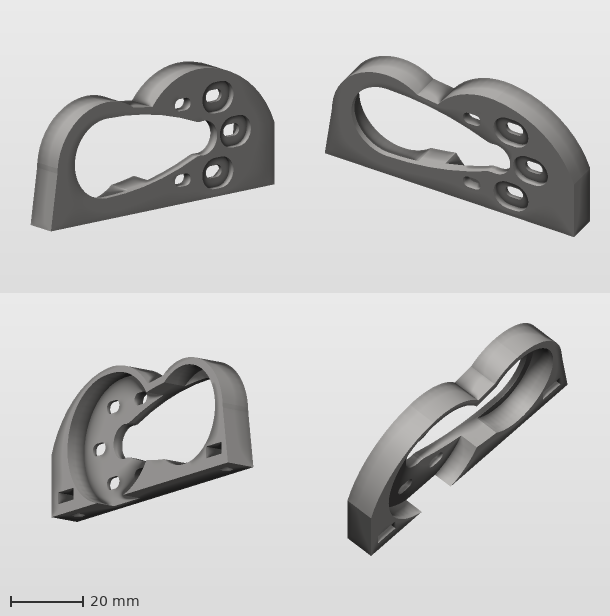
import cadquery as cq
import math

thickness = 9.0
length = 80.0
total_height = 37.8

axis_height = 17.6

large_start = 25.4
travel = 2.2
large_end = large_start + travel
large_middle = large_start + travel / 2
large_radius = 18.2
large_depth = 5.9

small_center = 60.0
small_radius = 14.2
small_depth = 7.3
small_wall = 2.0

left_edge_height = 17.9
left_shoulder_radius = 30.0
dome_center = 27.3
dome_radius = 20.6
dome_start = 25.4
valley_start = 43.7
valley_end = 50.3
right_shoulder = 77.6
taper_top = 77.7
taper_top_height = 16.2

opening_small_radius = 5.0
opening_large_radius = 11.4

slot_width = 3.5
slot_circle_radius = 12.6
slot_angles = (60, 120, 180, 240, 300)
relieved_slot_angles = (120, 180, 240)
relief_width = 9.0
relief_depth = 1.8

pocket_centers = (6.4, 73.6)
pocket_width = 7.0
pocket_height = 3.4
pocket_bottom = 3.1
screw_diameter = 3.5
screw_depth = thickness / 2
pocket_depth = screw_depth + pocket_width / 2
pocket_chamfer = 1.6


def front_face(distance=0, height=0):
    """Sketch plane on the -X face: x runs toward -Y, y runs up, extruding negative cuts inward."""
    return cq.Workplane(cq.Plane(origin=(0, -distance, height), xDir=(0, -1, 0), normal=(-1, 0, 0)))


def circle_top(center, center_height, radius, distance):
    """Height of the upper side of a circle at a distance along the plate."""
    return center_height + math.sqrt(radius**2 - (distance - center) ** 2)


def make_plate():
    dome_height = total_height - dome_radius
    small_outer = small_radius + small_wall
    small_top = axis_height + small_outer
    dome_start_height = circle_top(dome_center, dome_height, dome_radius, dome_start)
    valley_start_height = circle_top(dome_center, dome_height, dome_radius, valley_start)
    valley_end_height = circle_top(small_center, axis_height, small_outer, valley_end)
    return (
        front_face()
        .lineTo(0, left_edge_height)
        .radiusArc((dome_start, dome_start_height), left_shoulder_radius)
        .radiusArc((valley_start, valley_start_height), dome_radius)
        .lineTo(valley_end, valley_end_height)
        .radiusArc((small_center, small_top), small_outer)
        .tangentArcPoint((right_shoulder, axis_height), relative=False)
        .lineTo(taper_top, taper_top_height)
        .lineTo(length, 0)
        .close()
        .extrude(-thickness)
    )


def make_recesses():
    large = front_face(large_middle, axis_height).slot2D(2 * large_radius + travel, 2 * large_radius)
    small = front_face(small_center, axis_height).circle(small_radius)
    return large.extrude(-large_depth).union(small.extrude(-small_depth))


def make_opening():
    """Two overlapping small circles one travel apart, then arcs that flare into the large round end."""
    run = small_center - large_end
    rise = opening_large_radius - opening_small_radius
    flare_radius = (run**2 + rise**2) / (2 * rise)
    small_top = axis_height + opening_small_radius
    small_bottom = axis_height - opening_small_radius
    large_top = axis_height + opening_large_radius
    large_bottom = axis_height - opening_large_radius
    ridge_inset = opening_small_radius - math.sqrt(opening_small_radius**2 - (travel / 2) ** 2)
    ridge_top = (large_middle, small_top - ridge_inset)
    ridge_bottom = (large_middle, small_bottom + ridge_inset)
    return (
        front_face()
        .moveTo(*ridge_bottom)
        .threePointArc((large_start - opening_small_radius, axis_height), ridge_top)
        .radiusArc((large_end, small_top), opening_small_radius)
        .radiusArc((small_center, large_top), flare_radius)
        .threePointArc((small_center + opening_large_radius, axis_height), (small_center, large_bottom))
        .radiusArc((large_end, small_bottom), flare_radius)
        .radiusArc(ridge_bottom, opening_small_radius)
        .close()
        .extrude(-thickness)
    )


def make_slot(angle):
    distance = large_middle + slot_circle_radius * math.cos(math.radians(angle))
    height = axis_height + slot_circle_radius * math.sin(math.radians(angle))
    slot = front_face(distance, height).slot2D(slot_width + travel, slot_width).extrude(-thickness)
    if angle in relieved_slot_angles:
        relief = front_face(distance, height).workplane(offset=-thickness)
        slot = slot.union(relief.slot2D(relief_width + travel, relief_width).extrude(relief_depth))
    return slot


def make_nut_pocket(center):
    """Slot from the -X face with a chamfered inner end, and a screw hole up into it from the bottom."""
    nut_slot = (
        cq.Workplane(origin=(pocket_depth / 2, -center, pocket_bottom))
        .rect(pocket_depth, pocket_width)
        .extrude(pocket_height)
        .edges("|Z and >X")
        .chamfer(pocket_chamfer)
    )
    screw_hole = cq.Workplane(origin=(screw_depth, -center, 0)).circle(screw_diameter / 2)
    return nut_slot.union(screw_hole.extrude(pocket_bottom))


result = make_plate().cut(make_recesses()).cut(make_opening())
for slot_angle in slot_angles:
    result = result.cut(make_slot(slot_angle))
for pocket_center in pocket_centers:
    result = result.cut(make_nut_pocket(pocket_center))